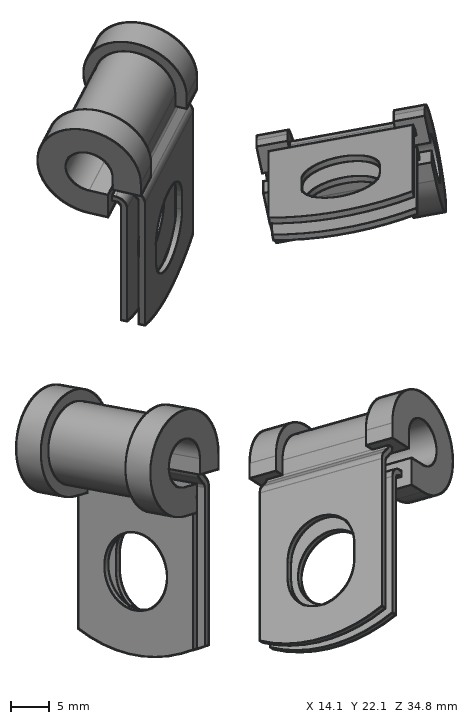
import cadquery as cq
import math

length = 22.1
waist_length = 13.92
collar_length = (length - waist_length) / 2
collar_radius = 14.1 / 2
bore_radius = 3.2
upper_lip = 2.12
lower_lip = 2.58

strap_thickness = 0.85
strap_width = 18.93
strap_inner_radius = 4.65
strap_outer_radius = strap_inner_radius + strap_thickness
bend_radius = 1.15
lower_leg_x = 4.2
overall_height = 34.8
leg_bottom = collar_radius - overall_height
leg_corner_rise = 2.15

hole_radius = 5.15
hole_z = -16.67
slot_shift = 1.2


def c_ring(inner, outer, width):
    """Extrude a three-quarter ring with straight lips, centred on Y."""
    slant = math.sqrt(0.5)
    return (
        cq.Workplane("XZ")
        .moveTo(outer, -upper_lip)
        .lineTo(outer, 0)
        .threePointArc((-outer * slant, outer * slant), (0, -outer))
        .lineTo(lower_lip, -outer)
        .lineTo(lower_lip, -inner)
        .lineTo(0, -inner)
        .threePointArc((-inner * slant, inner * slant), (inner, 0))
        .lineTo(inner, -upper_lip)
        .close()
        .extrude(width / 2, both=True)
    )


def sweep_strap(path, start):
    """Sweep the strap section, thin along the given start plane's X."""
    return cq.Workplane(start).rect(strap_thickness, strap_width).sweep(path)


def arc_point(center, angle):
    """Point on the strap's bend circle, angle in degrees from +X."""
    turn = math.radians(angle)
    return (
        center[0] + bend_radius * math.cos(turn),
        center[1] + bend_radius * math.sin(turn),
    )


strap_middle_radius = strap_inner_radius + strap_thickness / 2

lower_center = (lower_leg_x - bend_radius, -strap_middle_radius - bend_radius)
lower_path = (
    cq.Workplane("XZ")
    .moveTo(lower_lip, -strap_middle_radius)
    .lineTo(*arc_point(lower_center, 90))
    .threePointArc(arc_point(lower_center, 45), arc_point(lower_center, 0))
    .lineTo(lower_leg_x, leg_bottom)
)
lower_start = cq.Plane(
    origin=(lower_lip, 0, -strap_middle_radius), xDir=(0, 0, 1), normal=(1, 0, 0)
)

upper_leg_x = collar_radius - strap_thickness / 2
jog = upper_leg_x - strap_middle_radius
bend_offset = bend_radius * (1 - math.cos(math.radians(45)))
diagonal_drop = jog - 2 * bend_offset
jog_height = diagonal_drop + 2 * bend_radius * math.sin(math.radians(45))
first_center = (strap_middle_radius + bend_radius, -upper_lip)
second_center = (upper_leg_x - bend_radius, -upper_lip - jog_height)
upper_path = (
    cq.Workplane("XZ")
    .moveTo(strap_middle_radius, -upper_lip)
    .threePointArc(arc_point(first_center, 202.5), arc_point(first_center, 225))
    .lineTo(*arc_point(second_center, 45))
    .threePointArc(arc_point(second_center, 22.5), arc_point(second_center, 0))
    .lineTo(upper_leg_x, leg_bottom)
)
upper_start = cq.Plane(
    origin=(strap_middle_radius, 0, -upper_lip), xDir=(1, 0, 0), normal=(0, 0, -1)
)

half_width = strap_width / 2
leg_outline = (
    cq.Workplane("YZ")
    .moveTo(-half_width, 0)
    .lineTo(-half_width, leg_bottom + leg_corner_rise)
    .threePointArc((0, leg_bottom), (half_width, leg_bottom + leg_corner_rise))
    .lineTo(half_width, 0)
    .close()
    .extrude(collar_radius)
)
round_hole = (
    cq.Workplane("YZ")
    .center(0, hole_z)
    .circle(hole_radius)
    .extrude(collar_radius)
)
slot = (
    cq.Workplane("YZ")
    .center(0, hole_z)
    .slot2D(2 * (hole_radius + slot_shift), 2 * hole_radius, 90)
    .extrude(collar_radius)
)
lower_leg = sweep_strap(lower_path, lower_start).intersect(leg_outline).cut(round_hole)
upper_leg = sweep_strap(upper_path, upper_start).intersect(leg_outline).cut(slot)

result = c_ring(bore_radius, strap_outer_radius, length)
collar = c_ring(bore_radius, collar_radius, collar_length)
for side in (-1, 1):
    collar_y = side * (length - collar_length) / 2
    result = result.union(collar.translate((0, collar_y, 0)))
result = result.union(lower_leg).union(upper_leg)